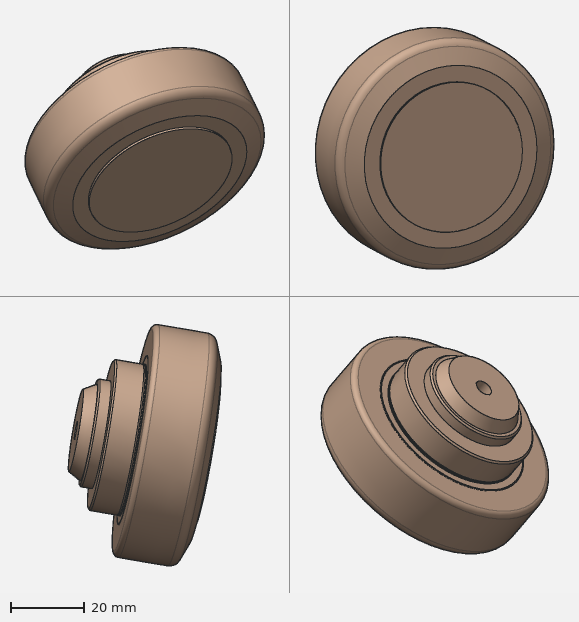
import cadquery as cq
import math

NOSE_END = 3.5
PIN_END = 7.0
HUB_END = 15.5
TIRE_START = 15.8
TIRE_WIDTH = 19.95
OVERALL_LENGTH = 36.5
TIRE_END = TIRE_START + TIRE_WIDTH

NOSE_DIAMETER = 22.95
PIN_DIAMETER = 30.0
HUB_DIAMETER = 42.0
SEAL_DIAMETER = 42.1
REAR_RING_DIAMETER = 42.0
BEARING_DIAMETER = 47.0
TIRE_DIAMETER = 64.8
GREASE_HOLE_DIAMETER = 4.9

NOSE_ANGLE = 30.0
EDGE_CHAMFER = 0.5
HUB_REAR_LENGTH = 0.45
HUB_REAR_DROP = 0.25
BEARING_CHAMFER = 0.3
CROWN_RISE = 0.03
FRONT_FILLET = 1.55
REAR_FILLET = 2.9
REAR_SLOPE = 68.5
SHOULDER_LENGTH = 1.95
GREASE_HOLE_DEPTH = 10.0


def revolve_about_x(outline):
    return outline.close().revolve(360, (0, 0, 0), (1, 0, 0))


def disc(start, end, diameter):
    return cq.Workplane("YZ", origin=(start, 0, 0)).circle(diameter / 2).extrude(end - start)


def make_pin_and_hub():
    """Nose cone, pin and hub as one stepped shaft, ending on the seal ring."""
    nose_radius = NOSE_DIAMETER / 2
    nose_base_radius = nose_radius + NOSE_END * math.tan(math.radians(NOSE_ANGLE))
    pin_radius = PIN_DIAMETER / 2
    hub_radius = HUB_DIAMETER / 2
    shaft = revolve_about_x(
        cq.Workplane("XY")
        .moveTo(0, 0)
        .lineTo(0, nose_radius)
        .lineTo(NOSE_END, nose_base_radius)
        .lineTo(NOSE_END, pin_radius - EDGE_CHAMFER)
        .lineTo(NOSE_END + EDGE_CHAMFER, pin_radius)
        .lineTo(PIN_END, pin_radius)
        .lineTo(PIN_END, hub_radius - EDGE_CHAMFER)
        .lineTo(PIN_END + EDGE_CHAMFER, hub_radius)
        .lineTo(HUB_END - HUB_REAR_LENGTH, hub_radius)
        .lineTo(HUB_END, hub_radius - HUB_REAR_DROP)
        .lineTo(HUB_END, 0)
    )
    return shaft.union(disc(HUB_END, TIRE_START, SEAL_DIAMETER))


def fillet_offset(radius, angle):
    """Axial run and radial drop of a fillet after turning by an angle away from the tread."""
    return radius * math.sin(angle), radius * (1 - math.cos(angle))


def make_tire():
    """Crowned tire with a small front fillet and a rounded, sloped rear shoulder."""
    crown_radius = TIRE_DIAMETER / 2
    edge_radius = crown_radius - CROWN_RISE

    tread_start = TIRE_START + FRONT_FILLET
    front_run, front_drop = fillet_offset(FRONT_FILLET, math.radians(90) / 2)

    slope = math.radians(REAR_SLOPE)
    rear_run, rear_drop = fillet_offset(REAR_FILLET, slope)
    middle_run, middle_drop = fillet_offset(REAR_FILLET, slope / 2)
    shoulder_start = TIRE_END - SHOULDER_LENGTH
    shoulder_radius = edge_radius - rear_drop
    shoulder_end_radius = shoulder_radius - SHOULDER_LENGTH * math.tan(slope)
    tread_end = shoulder_start - rear_run
    tread_middle = (tread_start + tread_end) / 2

    return revolve_about_x(
        cq.Workplane("XY")
        .moveTo(TIRE_START, 0)
        .lineTo(TIRE_START, edge_radius - FRONT_FILLET)
        .threePointArc((tread_start - front_run, edge_radius - front_drop), (tread_start, edge_radius))
        .threePointArc((tread_middle, crown_radius), (tread_end, edge_radius))
        .threePointArc(
            (tread_end + middle_run, edge_radius - middle_drop),
            (shoulder_start, shoulder_radius),
        )
        .lineTo(TIRE_END, shoulder_end_radius)
        .lineTo(TIRE_END, 0)
    )


def make_bearing_groove():
    """V-groove in the front face, between the chamfered bearing edge and the tire bore."""
    bore_radius = BEARING_DIAMETER / 2
    return revolve_about_x(
        cq.Workplane("XY")
        .moveTo(TIRE_START, bore_radius - BEARING_CHAMFER)
        .lineTo(TIRE_START + BEARING_CHAMFER, bore_radius)
        .lineTo(TIRE_START, bore_radius)
    )


rear_ring = disc(TIRE_END, OVERALL_LENGTH, REAR_RING_DIAMETER)
grease_hole = disc(0, GREASE_HOLE_DEPTH, GREASE_HOLE_DIAMETER)

result = (
    make_tire()
    .union(make_pin_and_hub())
    .union(rear_ring)
    .cut(make_bearing_groove())
    .cut(grease_hole)
)